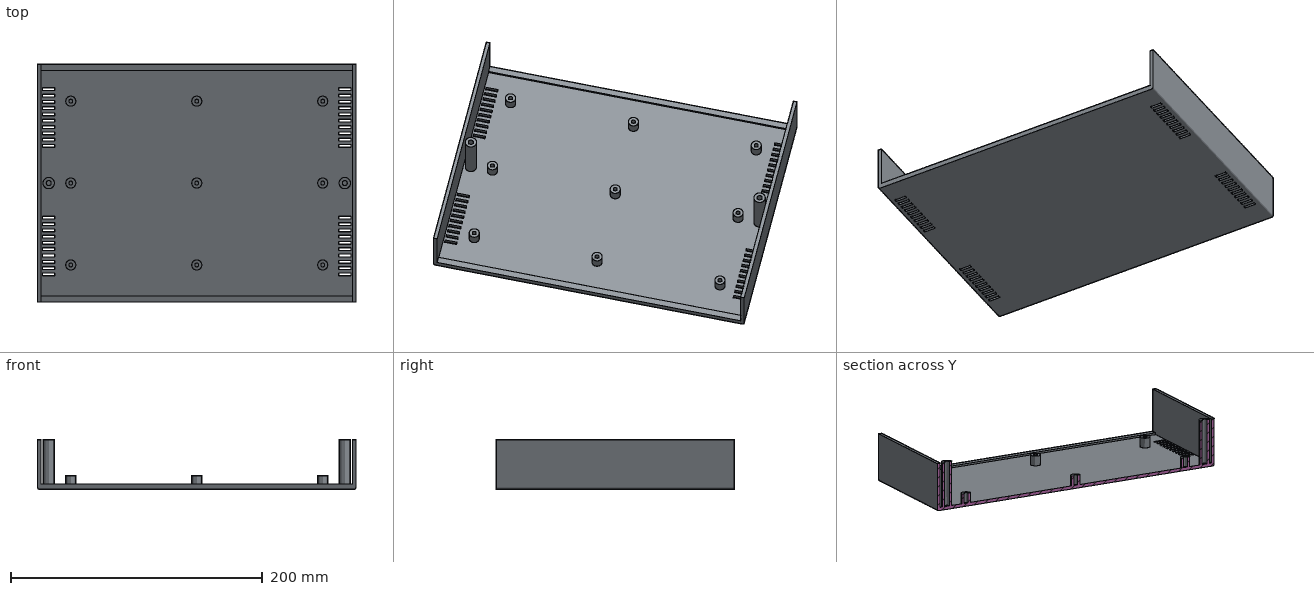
import cadquery as cq

LENGTH_X = 253.0
WIDTH_Y = 189.0
HEIGHT = 39.5

FLOOR_THICKNESS = 3.0
WALL_THICKNESS = 3.0
BOTTOM_RADIUS = 2.0
RIDGE_WIDTH = 5.0
RIDGE_HEIGHT = 1.5

STANDOFF_DIAMETER = 8.0
STANDOFF_BORE = 3.1
STANDOFF_TOP = 11.0
STANDOFF_PITCH_X = 100.0
STANDOFF_PITCH_Y = 65.0

POST_DIAMETER = 9.0
POST_BORE = 4.0
POST_X = 117.5

SLOT_LENGTH = 9.5
SLOT_WIDTH = 2.0
SLOT_PITCH = 5.0
SLOTS_PER_GROUP = 10
SLOT_X = POST_X
SLOT_GROUP_STARTS_Y = (29.5, -72.5)

SIDES = (-1, 1)
GRID_STEPS = (-1, 0, 1)


def block(size_x, size_y, z_bottom, z_top, x=0.0, y=0.0):
    """Upright block centred on (x, y) between two heights."""
    return (
        cq.Workplane("XY", origin=(x, y, z_bottom))
        .box(size_x, size_y, z_top - z_bottom, centered=(True, True, False))
    )


def cylinder(diameter, z_bottom, z_top, x, y):
    """Upright cylinder centred on (x, y) between two heights."""
    return (
        cq.Workplane("XY", origin=(x, y, z_bottom))
        .circle(diameter / 2)
        .extrude(z_top - z_bottom)
    )


def make_shell():
    """Floor rounded along its lower side edges, with two side walls and a low ridge along each open end."""
    shell = block(LENGTH_X, WIDTH_Y, 0, FLOOR_THICKNESS)
    shell = shell.faces("<Z").edges("|Y").fillet(BOTTOM_RADIUS)
    wall_x = (LENGTH_X - WALL_THICKNESS) / 2
    ridge_y = (WIDTH_Y - RIDGE_WIDTH) / 2
    ridge_top = FLOOR_THICKNESS + RIDGE_HEIGHT
    for side in SIDES:
        wall = block(WALL_THICKNESS, WIDTH_Y, FLOOR_THICKNESS, HEIGHT, x=side * wall_x)
        ridge = block(LENGTH_X, RIDGE_WIDTH, FLOOR_THICKNESS, ridge_top, y=side * ridge_y)
        shell = shell.union(wall).union(ridge)
    return shell


def add_standoffs(body):
    """Low bored standoffs; the bores stop at the floor."""
    for column in GRID_STEPS:
        for row in GRID_STEPS:
            x = column * STANDOFF_PITCH_X
            y = row * STANDOFF_PITCH_Y
            standoff = cylinder(STANDOFF_DIAMETER, FLOOR_THICKNESS, STANDOFF_TOP, x, y)
            bore = cylinder(STANDOFF_BORE, FLOOR_THICKNESS, STANDOFF_TOP, x, y)
            body = body.union(standoff).cut(bore)
    return body


def add_posts(body):
    """Full-height bored screw posts; the bores stop at the floor."""
    for side in SIDES:
        x = side * POST_X
        post = cylinder(POST_DIAMETER, FLOOR_THICKNESS, HEIGHT, x, 0)
        bore = cylinder(POST_BORE, FLOOR_THICKNESS, HEIGHT, x, 0)
        body = body.union(post).cut(bore)
    return body


def cut_vent_slots(body):
    """Slots through the floor, in two groups beside each wall."""
    for side in SIDES:
        for start_y in SLOT_GROUP_STARTS_Y:
            for index in range(SLOTS_PER_GROUP):
                y = start_y + index * SLOT_PITCH
                slot = block(SLOT_LENGTH, SLOT_WIDTH, 0, FLOOR_THICKNESS, x=side * SLOT_X, y=y)
                body = body.cut(slot)
    return body


result = cut_vent_slots(add_posts(add_standoffs(make_shell())))